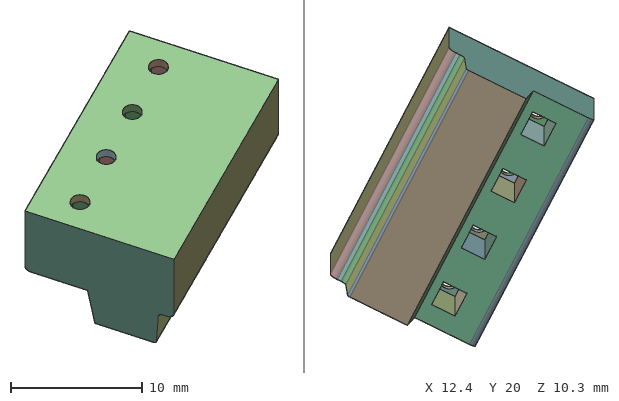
import cadquery as cq
import math

width = 12.4
length = 20.0
height = 10.3
tongue_height = 3.5

tongue_left = 5.2
tongue_right = 11.1
left_draft = 10.0
right_draft = 3.0

left_edge_radius = 0.5
right_edge_radius = 0.6
root_radius = 0.4
tip_radius = 0.2

hole_diameter = 1.5
hole_count = 4
hole_pitch = length / hole_count
hole_x = 3.5
mouth_depth = 0.8
pocket_side = 2.0


def taper(draft_angle):
    """Sideways shift of a tongue flank over the tongue's full height."""
    return tongue_height * math.tan(math.radians(draft_angle))


def round_edge(body, x, z, radius):
    """Fillet the lengthwise edge passing through the profile corner (x, z)."""
    corner = cq.selectors.NearestToPointSelector((x, 0, z))
    return body.edges("|Y").edges(corner).fillet(radius)


def make_body():
    """Block with its tongue, as one profile extruded along Y."""
    tip_left = tongue_left + taper(left_draft)
    tip_right = tongue_right - taper(right_draft)
    profile = [
        (0, height),
        (0, tongue_height),
        (tongue_left, tongue_height),
        (tip_left, 0),
        (tip_right, 0),
        (tongue_right, tongue_height),
        (width, tongue_height),
        (width, height),
    ]
    body = cq.Workplane("XZ").polyline(profile).close().extrude(length / 2, both=True)
    body = round_edge(body, 0, tongue_height, left_edge_radius)
    body = round_edge(body, width, tongue_height, right_edge_radius)
    body = round_edge(body, tongue_right, tongue_height, root_radius)
    return round_edge(body, tip_right, 0, tip_radius)


def hole_centers(z):
    """Workplane at height z holding the centre of every hole, evenly spaced along Y."""
    return cq.Workplane("XY").workplane(offset=z).center(hole_x, 0).rarray(0.2, hole_pitch, 1, hole_count)


def make_mouths():
    """Round openings in the top face."""
    return hole_centers(height).circle(hole_diameter / 2).extrude(-mouth_depth)


def make_pockets():
    """Square pockets from under the mouths down through the shelf beside the tongue."""
    ceiling = height - mouth_depth
    return hole_centers(ceiling).rect(pocket_side, pocket_side).extrude(tongue_height - ceiling)


result = make_body().cut(make_mouths()).cut(make_pockets())